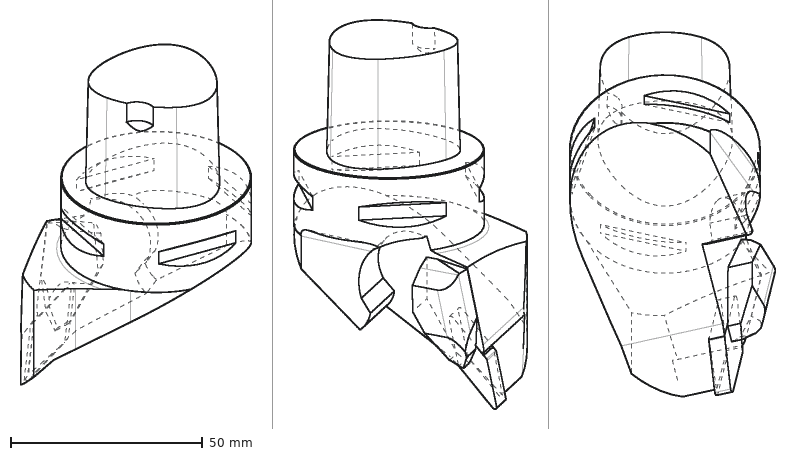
import cadquery as cq
import math

flange_radius = 25.0
flange_height = 20.6
flange_chamfer = 0.3

shank_height = 30.0
shank_base_radius = 17.5
shank_top_radius = 16.8
shank_lobe = 1.2
shank_faces = 6
points_per_face = 5
key_radius = 4.75
key_axis_y = -18.5
key_depth = 5.6

groove_count = 4
groove_z = -10.2
groove_floor_distance = 22.1
groove_floor_height = 3.6
groove_mouth_height = 6.8
groove_overshoot = 0.95

head_radius = 24.9
neck_radius = 26.1
neck_z = -21.3
head_top_slope = 0.3
head_reach = 42.75
head_bottom_z = -71.25
front_flat_y = -25.2
front_flat_x = -14.9
front_corner_x = -26.1
corner_arc_middle = (-31.5, -17.5)
corner_arc_end = (-33.8, -10.45)
head_left_x = -36.1
head_left_y = -2.85
back_flat_y = 21.2
back_flat_z = -18.0
back_flat_fillet = 2.85

seat_tip = (-34.9, 0.3, -65.0)
seat_pitch = 0.24
seat_roll = 0.07
head_depth = 57.0

tip_corner = (0.9, 1.6)
side_step_lower = (1.6, 16.7)
side_step_middle = (1.3, 18.0)
side_step_upper = (1.3, 19.4)
side_top = (2.9, 44.2)
underside_start_x = 12.35
underside_start_y = 13.8
underside_slope = 0.66
profile_right = 76.0
profile_left = -9.5
profile_top = 114.0

gullet_left = -19.0
gullet_bottom = -19.0
roof_left_y = 57.0
roof_end = (15.1, 49.6)
wall_middle = (30.4, 41.3)
ledge_inner = (29.9, 34.2)
ledge_outer = (27.0, 30.8)
lip_middle = (28.2, 27.9)
lip_end = (30.4, 25.6)

insert_angle = 35.0
insert_lean = 3.9
insert_edge = 16.6
insert_thickness = 4.75
insert_nose_radius = 0.8
insert_tip = (-0.4, -1.6)

clamp_outline = [(2.4, 41.8), (1.5, 29.9), (3.8, 17.6), (6.5, 12.8), (10.0, 15.2), (17.1, 30.4), (15.2, 43.7)]
clamp_nose_y = 12.8
clamp_ramp_y = 24.3
clamp_top_end_y = 38.5
clamp_shoulder_y = 41.8
clamp_end_y = 43.2
flank_base_x = 0.1
flank_top_x = 0.9
flank_arc_middle = (2.6, 6.1)
flank_arc_end_x = 5.7
clamp_height = 7.2
clamp_flank_height = 3.3
clamp_nose_height = 3.0

seat = cq.Plane(
    origin=seat_tip,
    xDir=(1, seat_roll, 0),
    normal=(seat_roll, -1, seat_pitch),
)
clamp_side = cq.Plane(origin=seat_tip, xDir=seat.yDir, normal=seat.xDir)
lean = math.radians(insert_lean)
clamp_end = cq.Plane(
    origin=seat_tip,
    xDir=seat.xDir * math.cos(lean) - seat.yDir * math.sin(lean),
    normal=seat.xDir * math.sin(lean) + seat.yDir * math.cos(lean),
)


def shank_point(turn, radius):
    """Point of the lobed outline; turn is measured from the lobe on +Y."""
    x = radius * math.sin(turn) - shank_lobe * math.sin(2 * turn)
    y = radius * math.cos(turn) + shank_lobe * math.cos(2 * turn)
    return x, y


def shank_wire(radius, z):
    face_turn = 2 * math.pi / shank_faces
    edges = []
    for face in range(shank_faces):
        start = face_turn * (face + 0.5)
        points = []
        for step in range(points_per_face + 1):
            x, y = shank_point(start + face_turn * step / points_per_face, radius)
            points.append(cq.Vector(x, y, z))
        edges.append(cq.Edge.makeSpline(points))
    return cq.Wire.assembleEdges(edges)


def make_shank():
    base = shank_wire(shank_base_radius, 0)
    top = shank_wire(shank_top_radius, shank_height)
    shank = cq.Workplane(cq.Solid.makeLoft([base, top], True))
    key_floor = shank_height - key_depth
    key = (
        cq.Workplane("XZ")
        .moveTo(0, shank_height)
        .lineTo(key_radius, shank_height)
        .lineTo(key_radius, key_floor)
        .lineTo(0, key_floor - key_radius)
        .close()
        .revolve(360, (0, 0), (0, 1))
        .translate((0, key_axis_y, 0))
    )
    return shank.cut(key)


def make_flange():
    flange = cq.Workplane("XY").circle(flange_radius).extrude(-flange_height)
    flange = flange.faces(">Z").chamfer(flange_chamfer)
    groove_depth = flange_radius - groove_floor_distance
    mouth_slope = (groove_mouth_height - groove_floor_height) / 2 / groove_depth
    outside = flange_radius + groove_overshoot
    outside_half = groove_floor_height / 2 + mouth_slope * (outside - groove_floor_distance)
    for index in range(groove_count):
        groove = (
            cq.Workplane("XZ")
            .moveTo(groove_floor_distance, groove_z - groove_floor_height / 2)
            .lineTo(outside, groove_z - outside_half)
            .lineTo(outside, groove_z + outside_half)
            .lineTo(groove_floor_distance, groove_z + groove_floor_height / 2)
            .close()
            .extrude(flange_radius, both=True)
            .rotate((0, 0, 0), (0, 0, 1), 360 / groove_count * (index + 0.5))
        )
        flange = flange.cut(groove)
    return flange


def head_cone():
    """Conical roof of the head with a short steeper neck under the flange."""
    rim_z = neck_z - head_top_slope * (head_reach - neck_radius)
    return (
        cq.Workplane("XZ")
        .moveTo(0, -flange_height)
        .lineTo(flange_radius, -flange_height)
        .lineTo(neck_radius, neck_z)
        .lineTo(head_reach, rim_z)
        .lineTo(head_reach, head_bottom_z)
        .lineTo(0, head_bottom_z)
        .close()
        .revolve(360, (0, 0), (0, 1))
    )


def head_plan():
    """Outline of the head seen along Z."""
    return (
        cq.Workplane("XY")
        .moveTo(0, -head_radius)
        .lineTo(front_flat_x, front_flat_y)
        .lineTo(front_corner_x, front_flat_y)
        .threePointArc(corner_arc_middle, corner_arc_end)
        .lineTo(head_left_x, head_left_y)
        .lineTo(head_left_x, head_radius)
        .lineTo(0, head_radius)
        .threePointArc((head_radius, 0), (0, -head_radius))
        .close()
        .extrude(head_bottom_z)
    )


def head_profile():
    """Side and underside of the holder, square to the seat; it covers the flange too."""
    underside_run = profile_right - underside_start_x
    underside_end_y = underside_start_y + underside_run * underside_slope
    return (
        cq.Workplane(seat)
        .moveTo(*tip_corner)
        .lineTo(underside_start_x, underside_start_y)
        .lineTo(profile_right, underside_end_y)
        .lineTo(profile_right, profile_top)
        .lineTo(profile_left, profile_top)
        .lineTo(profile_left, side_top[1])
        .lineTo(*side_top)
        .lineTo(*side_step_upper)
        .threePointArc(side_step_middle, side_step_lower)
        .close()
        .extrude(head_depth, both=True)
    )


def gullet():
    """Chip space above the seat plane, with a curved roof and a wall beside the clamp."""
    return (
        cq.Workplane(seat)
        .moveTo(gullet_left, roof_left_y)
        .lineTo(*roof_end)
        .threePointArc(wall_middle, ledge_inner)
        .lineTo(*ledge_outer)
        .threePointArc(lip_middle, lip_end)
        .lineTo(lip_end[0], gullet_bottom)
        .lineTo(gullet_left, gullet_bottom)
        .close()
        .extrude(-head_depth)
    )


def back_flat():
    """Space behind the flat that runs down the +Y side, rounded at its top inner edge."""
    width = 3 * flange_radius
    height = back_flat_z - head_bottom_z
    cut = (
        cq.Workplane("XY")
        .box(width, flange_radius, height, centered=(True, False, False))
        .translate((0, back_flat_y, head_bottom_z))
    )
    return cut.edges("<Y and >Z").fillet(back_flat_fillet)


def make_clamp():
    outline = cq.Workplane(seat).polyline(clamp_outline).close().extrude(-clamp_height)
    side = (
        cq.Workplane(clamp_side)
        .moveTo(clamp_nose_y, 0)
        .lineTo(clamp_nose_y, -clamp_nose_height)
        .lineTo(clamp_ramp_y, -clamp_height)
        .lineTo(clamp_top_end_y, -clamp_height)
        .lineTo(clamp_shoulder_y, -clamp_flank_height)
        .lineTo(clamp_end_y, 0)
        .close()
        .extrude(head_depth)
    )
    flank = (
        cq.Workplane(clamp_end)
        .moveTo(flank_base_x, 0)
        .lineTo(flank_top_x, clamp_flank_height)
        .threePointArc(flank_arc_middle, (flank_arc_end_x, clamp_height))
        .lineTo(head_depth, clamp_height)
        .lineTo(head_depth, 0)
        .close()
        .extrude(head_depth)
    )
    return outline.intersect(side).intersect(flank)


def make_insert():
    def along(point, angle):
        turn = math.radians(angle)
        return point[0] + insert_edge * math.sin(turn), point[1] + insert_edge * math.cos(turn)

    left = along(insert_tip, insert_lean)
    right = along(insert_tip, insert_lean + insert_angle)
    heel = along(left, insert_lean + insert_angle)
    blank = cq.Workplane(seat).polyline([insert_tip, right, heel, left]).close().extrude(insert_thickness)
    edges = blank.edges(cq.selectors.ParallelDirSelector(seat.zDir))
    return edges.fillet(insert_nose_radius)


insert = make_insert()
head = head_cone().intersect(head_plan())
body = make_flange().union(head)
body = body.intersect(head_profile()).cut(gullet()).cut(back_flat())
holder = body.union(make_shank()).union(make_clamp()).cut(insert)

result = cq.Compound.makeCompound([holder.solids().val(), insert.solids().val()])